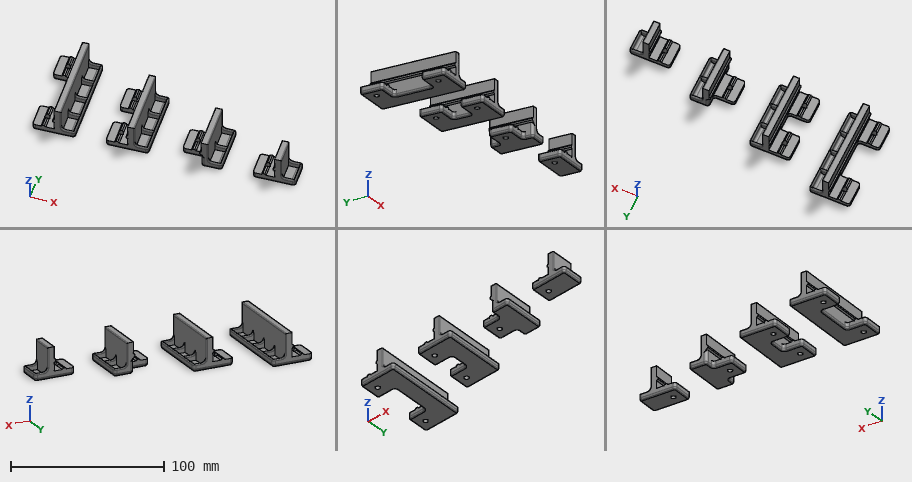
import cadquery as cq
import math

overall_x = 179.0
overall_y = 64.0
overall_z = 22.0
bracket_width = 29.0
bay_counts = [4, 3, 2, 1]
bracket_pitch = (overall_x - bracket_width) / (len(bay_counts) - 1)

plate_top = 5.0

rib_width = 2.0
bay_pitch = (overall_y - rib_width) / max(bay_counts)
floor_top = 1.5
lip_width = 1.6
floor_fillet = 2.0
edge_round = 0.63

wall_back = 14.9
wall_front = 19.5
wall_root_radius = 3.0

tab_width = bay_pitch + rib_width
hole_diameter = 3.4
hole_x = 7.5

bead_height = 1.0
bead_tip = 1.3
bead_base = bead_tip + 2 * bead_height
wall_bead_z = 12.4

corner_radius = 2.0
bottom_radius = 2.0
bottom_chamfer = bottom_radius * (2 - math.sqrt(2))


def bracket_length(bays):
    return bays * bay_pitch + rib_width


def tab_starts(bays):
    """Y of the near side of each tab: one at each end, or a single one in the middle."""
    length = bracket_length(bays)
    if bays > 2:
        return [0, length - tab_width]
    return [(length - tab_width) / 2]


def extrude_section(section, start_y, length):
    """Extrude a closed XZ sketch towards +Y from start_y."""
    return section.extrude(-length).translate((0, start_y, 0))


def foot(bays):
    """Outline of tabs and flange with rounded corners and bottom edge, up to the wall bead."""
    length = bracket_length(bays)
    flange_depth = bracket_width - wall_back
    body = cq.Workplane("XY").box(flange_depth, length, wall_bead_z, centered=False)
    body = body.translate((wall_back, 0, 0))
    for start in tab_starts(bays):
        tab = cq.Workplane("XY").box(wall_front, tab_width, wall_bead_z, centered=False)
        body = body.union(tab.translate((0, start, 0)))
    body = body.clean().edges("|Z").fillet(corner_radius)
    body = body.faces("<Z").edges().chamfer(bottom_chamfer)
    chamfer_rim = cq.selectors.BoxSelector(
        (-1.8, -1.8, bottom_chamfer - 0.02), (bracket_width + 1.8, length + 1.8, bottom_chamfer + 0.02)
    )
    return body.edges(chamfer_rim).fillet(bottom_radius)


def lower_section(length):
    """Tab with its bead, wall, root fillet and flange as one section."""
    section = (
        cq.Workplane("XZ")
        .moveTo(0, 0)
        .lineTo(0, plate_top)
        .lineTo(hole_x - bead_base / 2, plate_top)
        .lineTo(hole_x - bead_tip / 2, plate_top + bead_height)
        .lineTo(hole_x + bead_tip / 2, plate_top + bead_height)
        .lineTo(hole_x + bead_base / 2, plate_top)
        .lineTo(wall_back, plate_top)
        .lineTo(wall_back, overall_z)
        .lineTo(wall_front, overall_z)
        .lineTo(wall_front, plate_top + wall_root_radius)
        .radiusArc((wall_front + wall_root_radius, plate_top), -wall_root_radius)
        .lineTo(bracket_width, plate_top)
        .lineTo(bracket_width, 0)
        .close()
    )
    return extrude_section(section, 0, length)


def upper_wall(length):
    """Wall with its bead; the lower bead flank runs on at 45 degrees over the rounded corners."""
    tip_x = wall_back - bead_height
    flank_end_x = wall_back + corner_radius
    tip_bottom = wall_bead_z - bead_tip / 2
    flank_end_z = tip_bottom - (flank_end_x - tip_x)
    section = (
        cq.Workplane("XZ")
        .moveTo(flank_end_x, flank_end_z)
        .lineTo(tip_x, tip_bottom)
        .lineTo(tip_x, tip_bottom + bead_tip)
        .lineTo(wall_back, wall_bead_z + bead_base / 2)
        .lineTo(wall_back, overall_z)
        .lineTo(wall_front, overall_z)
        .lineTo(wall_front, flank_end_z)
        .close()
    )
    return extrude_section(section, 0, length)


def round_front_edges(body):
    """Round the top edge of the wall and the rim that runs around wall and flange."""
    wall_edge = body.faces(">Z").edges(">X")
    return wall_edge.add(body.edges("%CIRCLE and (<Y or >Y)")).fillet(edge_round)


def rib(center_y):
    """Rib with rounded edges, running from inside the wall past the lip."""
    margin = 2 * edge_round
    top = plate_top + wall_root_radius + margin
    section = (
        cq.Workplane("XZ")
        .moveTo(wall_front - margin, floor_top - margin)
        .lineTo(wall_front - margin, top)
        .lineTo(wall_front, top)
        .lineTo(wall_front, plate_top + wall_root_radius)
        .radiusArc((wall_front + wall_root_radius, plate_top), -wall_root_radius)
        .lineTo(bracket_width + margin, plate_top)
        .lineTo(bracket_width + margin, floor_top - margin)
        .close()
    )
    body = extrude_section(section, center_y - rib_width / 2, rib_width)
    return body.edges("%CIRCLE").fillet(edge_round)


def pocket():
    """Space of one bay between two ribs, with a floor fillet and a rounded lip edge."""
    lip_x = bracket_width - lip_width
    top = plate_top + wall_root_radius
    section = (
        cq.Workplane("XZ")
        .moveTo(wall_front, floor_top)
        .lineTo(lip_x - floor_fillet, floor_top)
        .radiusArc((lip_x, floor_top + floor_fillet), -floor_fillet)
        .lineTo(lip_x, plate_top - edge_round)
        .radiusArc((lip_x + edge_round, plate_top), edge_round)
        .lineTo(lip_x + edge_round, top)
        .lineTo(wall_front, top)
        .close()
    )
    first_rib_y = rib_width / 2
    space = extrude_section(section, first_rib_y, bay_pitch)
    return space.cut(rib(first_rib_y)).cut(rib(first_rib_y + bay_pitch))


def tab_hole(tab_start):
    hole = cq.Workplane("XY").circle(hole_diameter / 2).extrude(overall_z)
    return hole.translate((hole_x, tab_start + tab_width / 2, 0))


def bracket(bays):
    length = bracket_length(bays)
    body = foot(bays).intersect(lower_section(length))
    body = body.union(upper_wall(length)).clean()
    body = round_front_edges(body)
    bay_space = pocket()
    for bay in range(bays):
        body = body.cut(bay_space.translate((0, bay * bay_pitch, 0)))
    for start in tab_starts(bays):
        body = body.cut(tab_hole(start))
    return body


brackets = []
for index, bays in enumerate(bay_counts):
    placed = bracket(bays).translate((index * bracket_pitch, 0, 0))
    brackets.append(placed.val())

result = cq.Compound.makeCompound(brackets)